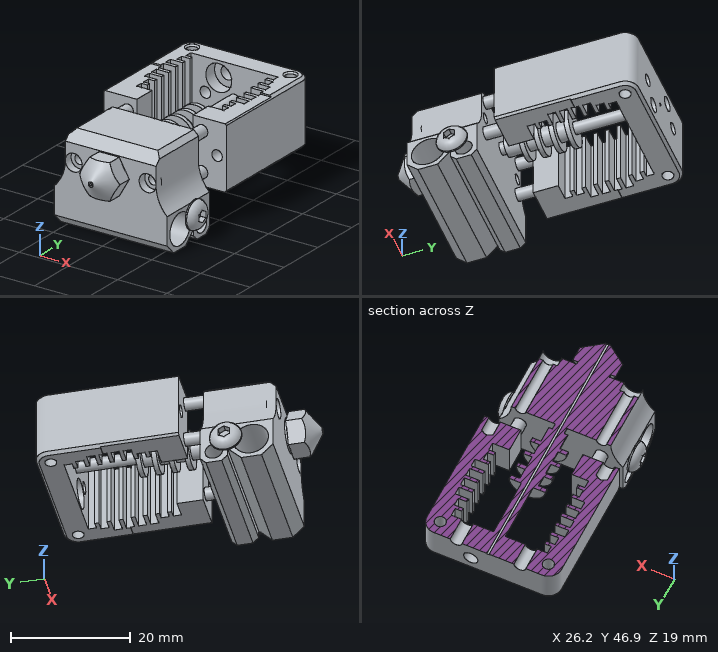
import cadquery as cq
import math


housing_side = 25.0
housing_height = 13.0
corner_radius = 2.5
edge_chamfer = 0.5
wall_depth = 4.5
pad_inner_x = 5.7
step_y = 13.5
top_step = 0.3
bottom_step = 0.15

fin_tip_x = 7.65
fin_width = 0.7
shallow_slot_x = 8.85
middle_slot_x = 9.3
deep_slot_x = 10.15
slot_floors = [shallow_slot_x] * 2 + [deep_slot_x] * 4 + [middle_slot_x, shallow_slot_x]

corner_hole_diameter = 1.95
corner_countersink_diameter = 2.6
corner_countersink_angle = 90.0
pad_hole_x = 10.6
pad_hole_diameter = 2.1
pad_hole_depth = 2.8
drill_point_angle = 118.0
screw_pocket_x = 3.2
screw_pocket_z = 3.35
screw_pocket_diameter = 5.25
screw_pocket_depth = 2.6
screw_hole_diameter = 2.63
wall_hole_x = 5.9
wall_hole_diameter = 2.15

block_gap = 3.5
rod_x = 7.55
rod_z = 3.75
rod_diameter = 2.3
joint_overlap = 0.45

tube_diameter = 2.25
collar_diameter = 3.55
collar_front_y = -2.5
disc_diameter = 6.75
disc_thickness = 0.85
disc_pitch = 2.75
disc_count = 4
first_disc_y = 0.55

block_length = 12.5
block_top_z = 5.5
overall_height = 19.0
block_bottom_z = housing_height / 2 - overall_height
block_upper_width = 18.5
block_lower_width = 23.0
flare_radius = 7.0
side_chamfer = 1.0
front_chamfer = 1.95
foot_chamfer = 1.0
foot_depth = 4.7
notch_width = 2.35
heater_bore_diameter = 6.0
heater_bore_from_back = 8.7
heater_bore_z = -8.75
sensor_bore_diameter = 3.0
sensor_bore_from_back = 2.35
sensor_bore_z = -10.25
mount_hole_x = 7.5
mount_hole_diameter = 1.88
mount_bore_diameter = 3.42
mount_bore_depth = 1.7

screw_from_back = 4.4
screw_z = -7.65
screw_head_diameter = 5.55
screw_head_height = 1.6
screw_rim_height = 0.3
screw_dome_radius = 1.8
socket_flats = 1.95
socket_depth = 1.13

neck_diameter = 6.15
neck_length = 0.4
hex_flats = 7.1
hex_length = 2.75
tip_diameter = 1.0
nozzle_length = 5.85

filament_bore_diameter = 0.4

block_back_y = -block_gap
block_front_y = block_back_y - block_length
back_wall_y = housing_side - wall_depth
tip_y = block_front_y - nozzle_length
hex_corners = hex_flats / math.cos(math.pi / 6)
socket_corners = socket_flats / math.cos(math.pi / 6)


def box(x_min, x_max, y_min, y_max, z_min, z_max):
    """Box between two corners given as limits along each axis."""
    size = (x_max - x_min, y_max - y_min, z_max - z_min)
    return cq.Workplane("XY").box(*size, centered=False).translate((x_min, y_min, z_min))


def cylinder_y(x, z, y_min, y_max, diameter):
    """Cylinder along Y between two Y positions."""
    bar = cq.Workplane("XZ").circle(diameter / 2).extrude(y_min - y_max)
    return bar.translate((x, y_min, z))


def drilled_hole(x):
    """Blind hole into the front of the housing, with a conical drill point."""
    radius = pad_hole_diameter / 2
    point = radius / math.tan(math.radians(drill_point_angle / 2))
    outline = [(0, 0), (radius, 0), (radius, pad_hole_depth), (0, pad_hole_depth + point)]
    profile = cq.Workplane("XY").polyline(outline).close()
    return profile.revolve(360, (0, 0), (0, 1)).translate((x, 0, 0))


def make_housing():
    half_width = housing_side / 2
    half_height = housing_height / 2
    body = box(-half_width, half_width, 0, housing_side, -half_height, half_height)
    body = body.edges("|Z and >Y").fillet(corner_radius)
    body = body.faces("<Z or >Z").edges("not <Y").chamfer(edge_chamfer)

    body = body.cut(box(-half_width, half_width, 0, step_y, half_height - top_step, half_height))
    body = body.cut(box(-half_width, half_width, 0, step_y, -half_height, bottom_step - half_height))

    body = body.cut(box(-pad_inner_x, pad_inner_x, 0, wall_depth, -half_height, half_height))
    body = body.cut(box(-fin_tip_x, fin_tip_x, wall_depth, back_wall_y, -half_height, half_height))

    slot_count = len(slot_floors)
    slot_width = (back_wall_y - wall_depth - (slot_count - 1) * fin_width) / slot_count
    for index, floor_x in enumerate(slot_floors):
        y = wall_depth + index * (slot_width + fin_width)
        body = body.cut(box(-floor_x, floor_x, y, y + slot_width, -half_height, half_height))

    corner_x = half_width - corner_radius
    corner_y = housing_side - corner_radius
    body = (
        body.faces(">Z")
        .workplane(origin=(0, 0, half_height))
        .pushPoints([(-corner_x, corner_y), (corner_x, corner_y)])
        .cskHole(corner_hole_diameter, corner_countersink_diameter, corner_countersink_angle)
    )

    for side in (-1, 1):
        body = body.cut(drilled_hole(side * pad_hole_x))
        body = body.cut(cylinder_y(side * wall_hole_x, 0, back_wall_y, housing_side, wall_hole_diameter))
        pocket_end = back_wall_y + screw_pocket_depth
        pocket_x = side * screw_pocket_x
        pocket_z = -side * screw_pocket_z
        body = body.cut(cylinder_y(pocket_x, pocket_z, back_wall_y, pocket_end, screw_pocket_diameter))
        body = body.cut(cylinder_y(pocket_x, pocket_z, back_wall_y, housing_side, screw_hole_diameter))
    return body


def make_heat_break():
    collar_back_y = first_disc_y + (disc_count - 1) * disc_pitch + disc_thickness
    body = cylinder_y(0, 0, block_back_y - joint_overlap, back_wall_y + joint_overlap, tube_diameter)
    body = body.union(cylinder_y(0, 0, collar_front_y, collar_back_y, collar_diameter))
    for index in range(disc_count):
        y = first_disc_y + index * disc_pitch
        body = body.union(cylinder_y(0, 0, y, y + disc_thickness, disc_diameter))
    return body


def make_block():
    upper = block_upper_width / 2
    lower = block_lower_width / 2

    flare_run = lower - upper
    flare_drop = math.sqrt(flare_radius**2 - (flare_radius - flare_run) ** 2)
    half_angle = math.asin(flare_drop / flare_radius) / 2
    middle_x = upper + flare_radius * (1 - math.cos(half_angle))
    middle_z = -flare_radius * math.sin(half_angle)
    body = (
        cq.Workplane("XZ", origin=(0, block_back_y, 0))
        .moveTo(-upper + side_chamfer, block_top_z)
        .lineTo(upper - side_chamfer, block_top_z)
        .lineTo(upper, block_top_z - side_chamfer)
        .lineTo(upper, 0)
        .threePointArc((middle_x, middle_z), (lower, -flare_drop))
        .lineTo(lower, block_bottom_z)
        .lineTo(-lower, block_bottom_z)
        .lineTo(-lower, -flare_drop)
        .threePointArc((-middle_x, middle_z), (-upper, 0))
        .lineTo(-upper, block_top_z - side_chamfer)
        .close()
        .extrude(block_length)
    )

    notch_y = block_back_y - foot_depth
    outline = [
        (block_back_y, block_top_z),
        (block_front_y + front_chamfer, block_top_z),
        (block_front_y, block_top_z - front_chamfer),
        (block_front_y, block_bottom_z + front_chamfer),
        (block_front_y + front_chamfer, block_bottom_z),
        (notch_y - notch_width, block_bottom_z),
        (notch_y, block_bottom_z + notch_width),
        (notch_y, block_bottom_z + foot_chamfer),
        (notch_y + foot_chamfer, block_bottom_z),
        (block_back_y - foot_chamfer, block_bottom_z),
        (block_back_y, block_bottom_z + foot_chamfer),
    ]
    body = body.intersect(cq.Workplane("YZ").polyline(outline).close().extrude(lower, both=True))

    bores = [
        (heater_bore_from_back, heater_bore_z, heater_bore_diameter),
        (sensor_bore_from_back, sensor_bore_z, sensor_bore_diameter),
    ]
    for from_back, z, diameter in bores:
        bore = cq.Workplane("YZ").center(block_back_y - from_back, z).circle(diameter / 2)
        body = body.cut(bore.extrude(lower, both=True))

    bore_end_y = block_front_y + mount_bore_depth
    for x in (-mount_hole_x, mount_hole_x):
        body = body.cut(cylinder_y(x, 0, block_front_y, block_back_y, mount_hole_diameter))
        body = body.cut(cylinder_y(x, 0, block_front_y, bore_end_y, mount_bore_diameter))
    return body


def make_screw_head():
    """Button head with a hexagon socket, on the +X side of the block."""
    rim = screw_head_diameter / 2
    face = socket_corners / 2
    head = (
        cq.Workplane("XZ")
        .lineTo(rim, 0)
        .lineTo(rim, screw_rim_height)
        .radiusArc((face, screw_head_height), -screw_dome_radius)
        .lineTo(0, screw_head_height)
        .close()
        .revolve(360, (0, 0), (0, 1))
    )
    socket = cq.Workplane("XY", origin=(0, 0, screw_head_height - socket_depth))
    socket = socket.polygon(6, socket_corners).extrude(socket_depth)
    head = head.cut(socket).rotate((0, 0, 0), (0, 1, 0), 90)
    return head.translate((block_lower_width / 2, block_back_y - screw_from_back, screw_z))


def make_nozzle():
    hex_back_y = block_front_y - neck_length
    neck = cylinder_y(0, 0, hex_back_y, block_front_y, neck_diameter)

    prism = cq.Workplane("XZ", origin=(0, hex_back_y, 0)).polygon(6, hex_corners).extrude(hex_back_y - tip_y)
    turned = (
        cq.Workplane("XY")
        .polyline([
            (0, hex_back_y),
            (hex_corners / 2, hex_back_y),
            (hex_corners / 2, hex_back_y - hex_length),
            (tip_diameter / 2, tip_y),
            (0, tip_y),
        ])
        .close()
        .revolve(360, (0, 0), (0, 1))
    )
    return neck.union(prism.intersect(turned))


result = make_housing().union(make_heat_break()).union(make_block()).union(make_nozzle())
result = result.cut(cylinder_y(0, 0, tip_y, housing_side, filament_bore_diameter))

for x in (-rod_x, rod_x):
    for z in (-rod_z, rod_z):
        result = result.union(cylinder_y(x, z, block_back_y - joint_overlap, joint_overlap, rod_diameter))

screw_head = make_screw_head()
result = result.union(screw_head).union(screw_head.mirror("YZ"))